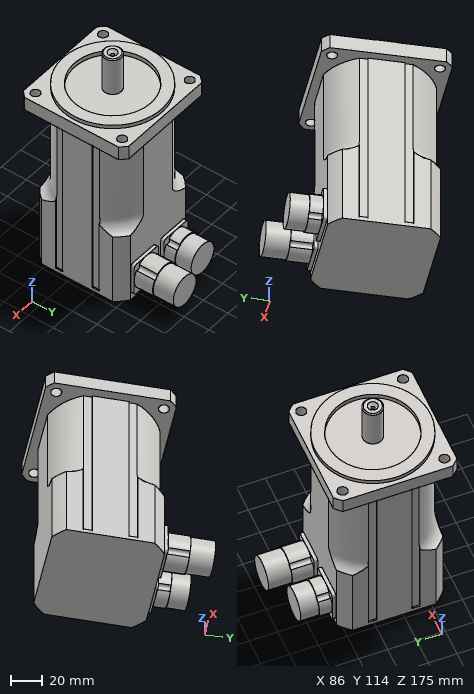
import cadquery as cq
import math

total_height = 175.0
body_side = 74.0
body_height = 134.0
foot_radius = 94.0 / 2
neck_radius = 80.0 / 2
cove_radius = 10.0
cove_top = 66.2

slot_depth = 1.0
slot_outer = 17.8
slot_inner = 12.0
slot_bottom = 3.2

flange_side = 86.0
flange_thickness = 11.0
flange_corner_radius = 115.0 / 2
bolt_circle_diameter = 100.0
bolt_hole_diameter = 7.0
flange_top = body_height + flange_thickness

pilot_diameter = 80.0
pilot_height = 3.0
recess_diameter = 62.0
recess_depth = 3.5
pilot_top = flange_top + pilot_height

shaft_diameter = 14.0
shaft_chamfer = 0.9
centre_cone_diameter = 7.0
centre_hole_diameter = 2.6
centre_hole_depth = 4.9
centre_cone_half_angle = 45.0

connector_offset = 15.5
connector_z = 18.0
overall_depth = 114.0
base_side = 25.5
base_corner_radius = 2.3
base_thickness = 2.6
collar_diameter = 25.4
barrel_diameter = 24.0
flute_radius = 2.1
flute_count = 4
flute_start_angle = 45.0
connector_face = body_side / 2
connector_sizes = [
    (-connector_offset, 48.5, 61.2),
    (connector_offset, 54.6, overall_depth - flange_side / 2),
]


def cylinder(diameter, bottom, top):
    """Upright cylinder on the Z axis between two heights."""
    return cq.Workplane("XY").workplane(offset=bottom).circle(diameter / 2).extrude(top - bottom)


def make_column():
    """Square column whose corners are turned to two radii joined by a cove."""
    def cove_depth(run):
        return math.sqrt(cove_radius**2 - (cove_radius - run) ** 2)

    step = foot_radius - neck_radius
    turned = (
        cq.Workplane("XZ")
        .lineTo(foot_radius, 0)
        .lineTo(foot_radius, cove_top - cove_depth(step))
        .threePointArc(
            (neck_radius + step / 2, cove_top - cove_depth(step / 2)),
            (neck_radius, cove_top),
        )
        .lineTo(neck_radius, body_height)
        .lineTo(0, body_height)
        .close()
        .revolve(360, (0, 0, 0), (0, 1, 0))
    )
    square = cq.Workplane("XY").rect(body_side, body_side).extrude(body_height)
    return square.intersect(turned)


def make_slots():
    """Two shallow slots in each X face, running up to the flange."""
    slot_middle = (slot_outer + slot_inner) / 2
    slot_x = body_side / 2
    return (
        cq.Workplane("XY")
        .workplane(offset=slot_bottom)
        .rarray(2 * slot_x, 2 * slot_middle, 2, 2)
        .rect(2 * slot_depth, slot_outer - slot_inner)
        .extrude(body_height - slot_bottom)
    )


def make_flange():
    """Square flange with turned corners and four bolt holes on the diagonals."""
    bolt_pitch = bolt_circle_diameter / math.sqrt(2)
    return (
        cq.Workplane("XY")
        .workplane(offset=body_height)
        .rect(flange_side, flange_side)
        .extrude(flange_thickness)
        .intersect(cylinder(2 * flange_corner_radius, body_height, flange_top))
        .faces(">Z")
        .workplane(origin=(0, 0, flange_top))
        .rarray(bolt_pitch, bolt_pitch, 2, 2)
        .hole(bolt_hole_diameter)
    )


def make_shaft():
    """Shaft rising from the recess floor, with a centre hole in its end."""
    shaft = cylinder(shaft_diameter, pilot_top - recess_depth, total_height)
    cone_angle = 2 * centre_cone_half_angle
    return (
        shaft.faces(">Z")
        .chamfer(shaft_chamfer)
        .faces(">Z")
        .workplane(origin=(0, 0, total_height))
        .cskHole(centre_hole_diameter, centre_cone_diameter, cone_angle, centre_hole_depth)
    )


def make_motor():
    """Housing, flange, pilot ring and shaft as one solid."""
    pilot = cylinder(pilot_diameter, flange_top, pilot_top)
    recess = cylinder(recess_diameter, pilot_top - recess_depth, pilot_top)
    return (
        make_column()
        .cut(make_slots())
        .union(make_flange())
        .union(pilot)
        .cut(recess)
        .union(make_shaft())
    )


def make_connector(axis_x, collar_end, barrel_end):
    """Connector pointing along +Y: square base, fluted collar and plain barrel."""
    def section(start_y):
        return cq.Workplane("XZ", origin=(axis_x, start_y, connector_z))

    collar_start = connector_face + base_thickness
    base = (
        section(connector_face)
        .rect(base_side, base_side)
        .extrude(-base_thickness)
        .edges("|Y")
        .fillet(base_corner_radius)
    )
    collar = section(collar_start).circle(collar_diameter / 2).extrude(collar_start - collar_end)
    flutes = (
        section(collar_start)
        .polarArray(collar_diameter / 2, flute_start_angle, 360, flute_count)
        .circle(flute_radius)
        .extrude(collar_start - collar_end)
    )
    barrel = section(collar_end).circle(barrel_diameter / 2).extrude(collar_end - barrel_end)
    return base.union(collar.cut(flutes)).union(barrel)


motor = make_motor()
connectors = [make_connector(*sizes) for sizes in connector_sizes]

result = cq.Compound.makeCompound([motor.val(), *[connector.val() for connector in connectors]])